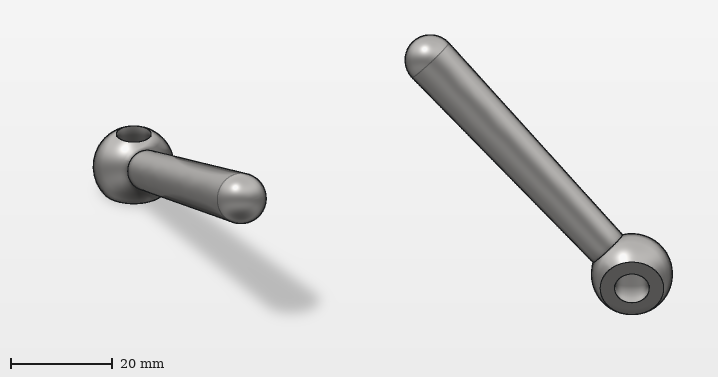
import cadquery as cq
import math

overall_length = 67.5
ball_radius = 8.0
ball_center_height = 5.0
bore_diameter = 6.8
grip_angle = 20.0
grip_root_radius = 4.0
grip_end_radius = 5.0

grip_root_distance = math.sqrt(ball_radius**2 - grip_root_radius**2)
grip_end_reach = overall_length - ball_radius - grip_end_radius
grip_end_distance = grip_end_reach / math.cos(math.radians(grip_angle))
tip_distance = grip_end_distance + grip_end_radius


def make_ball():
    """Ball cut off flat at the base plane."""
    ball = cq.Workplane("XY").sphere(ball_radius).translate((0, 0, ball_center_height))
    block_size = 2 * ball_radius
    upper_space = cq.Workplane("XY").box(block_size, block_size, block_size, centered=(True, True, False))
    return ball.intersect(upper_space)


def make_grip():
    """Tapered round grip with a hemispherical end, tilted up from the ball."""
    cap_offset = grip_end_radius * math.sqrt(0.5)
    profile = (
        cq.Workplane("XY")
        .lineTo(0, grip_root_radius)
        .lineTo(grip_root_distance, grip_root_radius)
        .lineTo(grip_end_distance, grip_end_radius)
        .threePointArc((grip_end_distance + cap_offset, cap_offset), (tip_distance, 0))
        .close()
    )
    grip = profile.revolve(360, (0, 0, 0), (1, 0, 0))
    tilted = grip.rotate((0, 0, 0), (0, 1, 0), -grip_angle)
    return tilted.translate((0, 0, ball_center_height))


def make_bore():
    """Vertical through bore on the ball axis."""
    return cq.Workplane("XY").circle(bore_diameter / 2).extrude(ball_center_height + ball_radius)


result = make_ball().union(make_grip()).cut(make_bore())